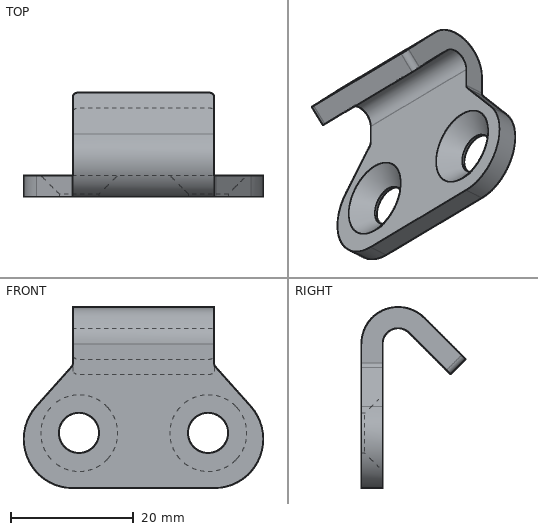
import cadquery as cq
import math

thickness = 3.5
bend_outer_radius = 6.0
bend_inner_radius = bend_outer_radius - thickness
lip_slope = math.radians(45)
overall_height = 29.51
overall_depth = 17.0
bend_center_y = bend_outer_radius
bend_center_z = overall_height - bend_outer_radius

tab_width = 23.0
corner_radius = 8.0
corner_center_x = tab_width / 2
corner_center_z = corner_radius
shoulder_height = 20.0
shoulder_fillet = 1.0
lip_corner_radius = 1.0

hole_diameter = 6.5
hole_spacing = 21.0
hole_height = 9.0
hole_land = 0.5
countersink_angle = math.radians(90)

lip_reach = overall_depth - bend_center_y - bend_outer_radius * math.sin(lip_slope)
lip_length = lip_reach / math.cos(lip_slope)


def bend_point(radius, angle):
    """Point (y, z) on a bend arc; the angle is measured from vertical toward +Y."""
    y = bend_center_y + radius * math.sin(angle)
    z = bend_center_z + radius * math.cos(angle)
    return (y, z)


def lip_end(radius):
    """Free end (y, z) of the lip line that leaves the bend at the given radius."""
    y, z = bend_point(radius, lip_slope)
    return (y + lip_length * math.cos(lip_slope), z - lip_length * math.sin(lip_slope))


def make_hook():
    """Bent strip of tab width: upright, bend and sloping lip with rounded corners."""
    hook = (
        cq.Workplane("YZ")
        .moveTo(0, shoulder_height)
        .lineTo(0, bend_center_z)
        .threePointArc(bend_point(bend_outer_radius, 0), bend_point(bend_outer_radius, lip_slope))
        .lineTo(*lip_end(bend_outer_radius))
        .lineTo(*lip_end(bend_inner_radius))
        .lineTo(*bend_point(bend_inner_radius, lip_slope))
        .threePointArc(bend_point(bend_inner_radius, 0), (thickness, bend_center_z))
        .lineTo(thickness, shoulder_height)
        .close()
        .extrude(tab_width / 2, both=True)
    )
    across_sheet = cq.Vector(0, math.sin(lip_slope), math.cos(lip_slope))
    lip_corners = hook.edges(cq.selectors.ParallelDirSelector(across_sheet))
    along_lip = cq.Vector(0, math.cos(lip_slope), -math.sin(lip_slope))
    lip_corners = lip_corners.edges(cq.selectors.DirectionMinMaxSelector(along_lip, True))
    return lip_corners.fillet(lip_corner_radius)


def make_plate():
    """Upright plate with rounded lower corners and sides sloping in to the tab."""
    tangent_angle = math.asin(corner_radius / (shoulder_height - corner_center_z))
    tangent_x = corner_center_x + corner_radius * math.cos(tangent_angle)
    tangent_z = corner_center_z + corner_radius * math.sin(tangent_angle)
    side_x = corner_center_x + corner_radius
    tab_x = tab_width / 2
    return (
        cq.Workplane("XZ")
        .moveTo(-corner_center_x, 0)
        .lineTo(corner_center_x, 0)
        .threePointArc((side_x, corner_center_z), (tangent_x, tangent_z))
        .lineTo(tab_x, shoulder_height)
        .lineTo(-tab_x, shoulder_height)
        .lineTo(-tangent_x, tangent_z)
        .threePointArc((-side_x, corner_center_z), (-corner_center_x, 0))
        .close()
        .extrude(-thickness)
    )


def round_shoulders(body):
    """Round the inside corners between the sloping sides and the tab."""
    for side in (-1, 1):
        corner = (side * tab_width / 2, thickness / 2, shoulder_height)
        body = body.edges(cq.selectors.NearestToPointSelector(corner)).fillet(shoulder_fillet)
    return body


def make_holes():
    """Cutters for the two mounting holes, countersunk from the back (+Y) face."""
    hole_radius = hole_diameter / 2
    countersink_depth = thickness - hole_land
    sink_radius = hole_radius + countersink_depth * math.tan(countersink_angle / 2)
    cutter = (
        cq.Workplane("XY")
        .moveTo(0, 0)
        .lineTo(hole_radius, 0)
        .lineTo(hole_radius, hole_land)
        .lineTo(sink_radius, thickness)
        .lineTo(0, thickness)
        .close()
        .revolve(360, (0, 0), (0, 1))
    )
    left = cutter.translate((-hole_spacing / 2, 0, hole_height))
    right = cutter.translate((hole_spacing / 2, 0, hole_height))
    return left.union(right)


bracket = make_plate().union(make_hook()).clean()
result = round_shoulders(bracket).cut(make_holes())